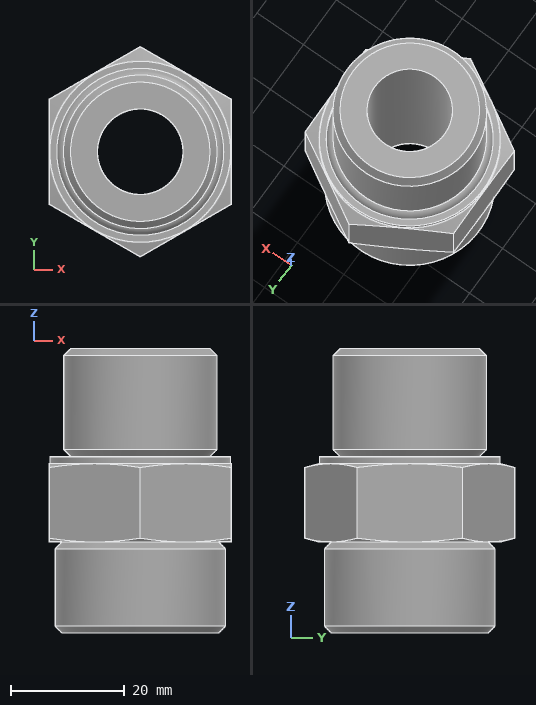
import cadquery as cq
import math

total_height = 50.0
bore_diameter = 15.0

lower_radius = 30.0 / 2
upper_radius = 27.0 / 2
lower_chamfer = 1.2
upper_chamfer = 1.25

hex_across_flats = 32.0
hex_bottom = 16.0
hex_top = 29.75
hex_chamfer_angle = 15.0
collar_radius = 31.8 / 2
collar_top = 31.0

neck_radius = 23.45 / 2
seal_outer_radius = 29.35 / 2
seal_section_radius = (seal_outer_radius - neck_radius) / 2
seal_center_radius = (seal_outer_radius + neck_radius) / 2
seal_depth = 0.1
seal_center_z = collar_top - seal_depth - seal_section_radius


def revolve_profile(profile):
    """Revolve a closed (radius, Z) profile around the Z axis."""
    return profile.close().revolve(360, (0, 0, 0), (0, 1, 0))


def make_lower_end():
    return (
        cq.Workplane("XY")
        .circle(lower_radius)
        .extrude(hex_bottom)
        .faces("<Z or >Z")
        .chamfer(lower_chamfer)
    )


def make_hexagon():
    """Hexagon with corners on Y, its corners turned off conically at both ends."""
    corner_diameter = hex_across_flats / math.cos(math.radians(30))
    corner_radius = corner_diameter / 2
    flat_radius = hex_across_flats / 2
    corner_drop = (corner_radius - flat_radius) * math.tan(math.radians(hex_chamfer_angle))
    prism = (
        cq.Workplane("XY", origin=(0, 0, hex_bottom))
        .polygon(6, corner_diameter)
        .extrude(hex_top - hex_bottom)
        .rotate((0, 0, 0), (0, 0, 1), 30)
    )
    turned_envelope = revolve_profile(
        cq.Workplane("XZ")
        .moveTo(0, hex_bottom)
        .lineTo(flat_radius, hex_bottom)
        .lineTo(corner_radius, hex_bottom + corner_drop)
        .lineTo(corner_radius, hex_top - corner_drop)
        .lineTo(flat_radius, hex_top)
        .lineTo(0, hex_top)
    )
    return prism.intersect(turned_envelope)


def make_collar():
    return (
        cq.Workplane("XY", origin=(0, 0, hex_top))
        .circle(collar_radius)
        .extrude(collar_top - hex_top)
    )


def make_upper_end():
    return (
        cq.Workplane("XY", origin=(0, 0, collar_top))
        .circle(upper_radius)
        .extrude(total_height - collar_top)
        .faces("<Z or >Z")
        .chamfer(upper_chamfer)
    )


def make_seal_recess():
    """Ring-shaped recess whose floor is the rounded upper half of the seal."""
    return revolve_profile(
        cq.Workplane("XZ")
        .moveTo(neck_radius, seal_center_z)
        .threePointArc(
            (seal_center_radius, seal_center_z + seal_section_radius),
            (seal_outer_radius, seal_center_z),
        )
        .lineTo(seal_outer_radius, collar_top)
        .lineTo(neck_radius, collar_top)
    )


def make_bore():
    return cq.Workplane("XY").circle(bore_diameter / 2).extrude(total_height)


hex_with_collar = make_hexagon().union(make_collar()).cut(make_seal_recess())
result = make_lower_end().union(hex_with_collar).union(make_upper_end()).cut(make_bore())